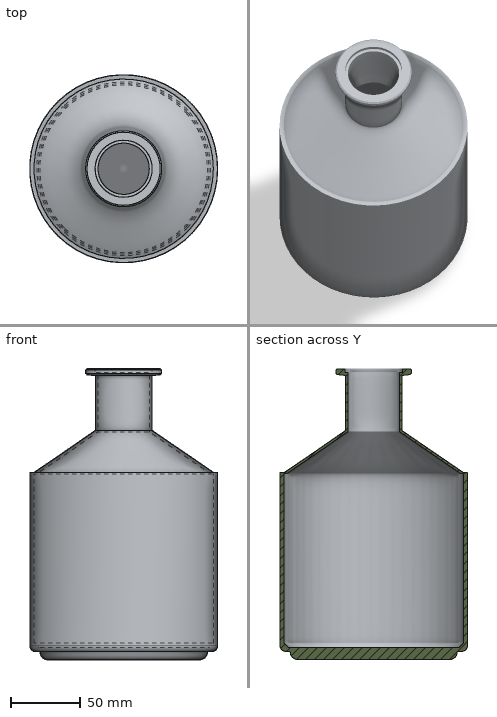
import cadquery as cq
import math

total_height = 210.5
shoulder_bottom = 135.5
shoulder_top = 165.9
body_bottom = 5.9

body_radius = 136.0 / 2
shoulder_radius = 129.7 / 2
neck_radius = 41.0 / 2
flange_radius = 55.0 / 2
foot_radius = 60.6

bore_radius = 37.0 / 2
seat_radius = 41.3 / 2
seat_depth = 2.7
body_wall = body_radius - shoulder_radius
neck_wall = neck_radius - bore_radius
cone_drop = 1.0

body_round = 4.5
foot_round = body_bottom
flange_thickness = 5.0
flange_bevel = 1.0
flange_underside_drop = 0.6


def outer_shell():
    """Solid envelope of the bottle, revolved about Z."""
    flange_bottom = total_height - flange_thickness
    flange_edge_bottom = flange_bottom + flange_underside_drop
    body_arc = body_round * (1 - math.sqrt(0.5))
    foot_arc = foot_round * (1 - math.sqrt(0.5))
    profile = (
        cq.Workplane("XZ")
        .lineTo(foot_radius - foot_round, 0)
        .threePointArc((foot_radius - foot_arc, foot_arc), (foot_radius, foot_round))
        .lineTo(body_radius - body_round, body_bottom)
        .threePointArc(
            (body_radius - body_arc, body_bottom + body_arc),
            (body_radius, body_bottom + body_round),
        )
        .lineTo(body_radius, shoulder_bottom)
        .lineTo(shoulder_radius, shoulder_bottom)
        .lineTo(neck_radius, shoulder_top)
        .lineTo(neck_radius, flange_bottom)
        .lineTo(flange_radius - flange_bevel, flange_edge_bottom)
        .lineTo(flange_radius, flange_edge_bottom + flange_bevel)
        .lineTo(flange_radius, total_height - flange_bevel)
        .lineTo(flange_radius - flange_bevel, total_height)
        .lineTo(0, total_height)
        .close()
    )
    return profile.revolve(360, (0, 0, 0), (0, 1, 0))


def cavity():
    """Inner volume: body, cone, neck bore and the shallow seat at the mouth."""
    cavity_floor = body_bottom + body_wall
    cone_base_radius = shoulder_radius - neck_wall
    cone_base = shoulder_bottom - cone_drop
    cone_top = shoulder_top - cone_drop
    seat_floor = total_height - seat_depth
    profile = (
        cq.Workplane("XZ")
        .moveTo(0, cavity_floor)
        .lineTo(shoulder_radius - body_wall, cavity_floor)
        .lineTo(shoulder_radius, cavity_floor + body_wall)
        .lineTo(shoulder_radius, cone_base)
        .lineTo(cone_base_radius, cone_base)
        .lineTo(bore_radius, cone_top)
        .lineTo(bore_radius, seat_floor)
        .lineTo(seat_radius, seat_floor)
        .lineTo(seat_radius, total_height)
        .lineTo(0, total_height)
        .close()
    )
    return profile.revolve(360, (0, 0, 0), (0, 1, 0))


result = outer_shell().cut(cavity())